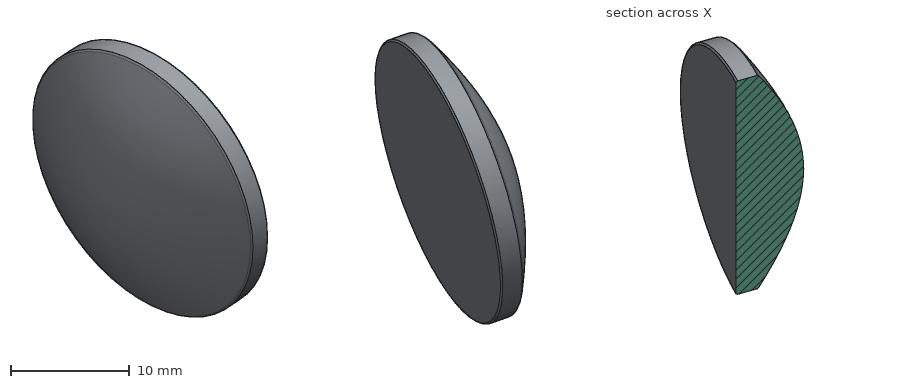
import cadquery as cq

diameter = 25.4
total_thickness = 6.17
dome_height = 4.06
bevel = 0.15
conic_constant = -1.85
profile_steps = 12

radius = diameter / 2
dome_radius = radius - bevel
rim_y = -total_thickness + dome_height
conic_factor = 1 + conic_constant
apex_radius = (dome_radius**2 + conic_factor * dome_height**2) / (2 * dome_height)


def dome_drop(r):
    """Axial distance of the conic surface behind its apex at radius r."""
    root = (1 - conic_factor * (r / apex_radius) ** 2) ** 0.5
    return r**2 / (apex_radius * (1 + root))


def dome_point(step):
    r = dome_radius * (1 - step / profile_steps)
    return (r, -total_thickness + dome_drop(r))


profile = (
    cq.Workplane("XY")
    .moveTo(0, 0)
    .lineTo(radius - bevel, 0)
    .lineTo(radius, -bevel)
    .lineTo(radius, rim_y + bevel)
    .lineTo(dome_radius, rim_y)
    .spline([dome_point(step) for step in range(1, profile_steps + 1)], includeCurrent=True)
    .close()
)

result = profile.revolve(360, (0, 0, 0), (0, 1, 0))